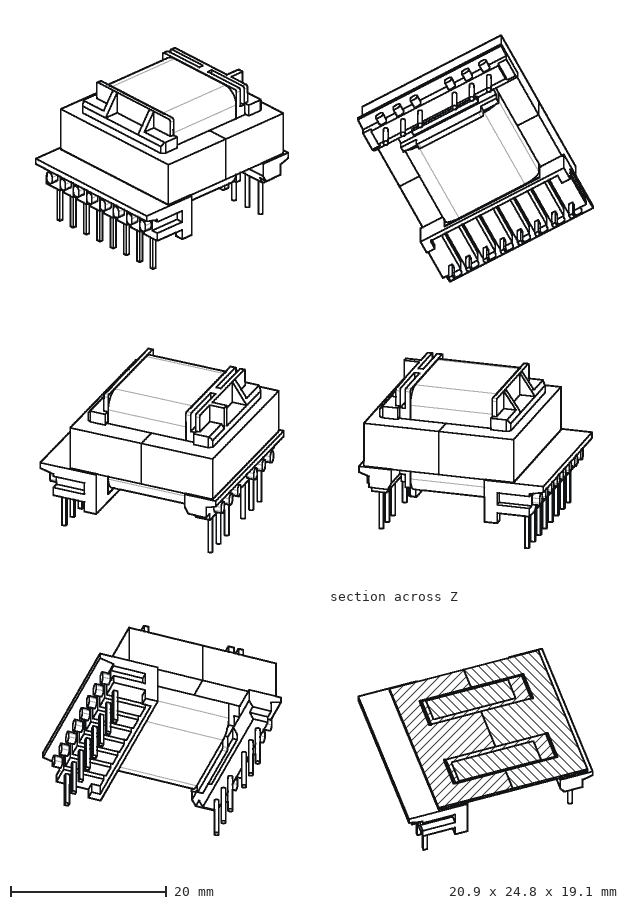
import cadquery as cq


core_width = 20.29
core_length = 20.15
core_height = 5.9
window_width = 14.09
window_length = 13.99
centre_leg_width = 5.9

tube_wall = 0.75
tube_width = centre_leg_width + 2 * tube_wall
tube_height = core_height + 2 * tube_wall

bobbin_top = 7.0
bobbin_bottom = -8.63
flange_width = 13.9
flange_thickness = 0.6
flange_corner_radius = 0.3
front_flange_outer = -6.77
front_flange_inner = front_flange_outer + flange_thickness
front_flange_bottom = -7.45
rear_flange_inner = 4.8
rear_flange_outer = 5.5
rear_flange_shoulder = -6.47
end_flange_outer = -front_flange_outer
end_flange_inner = -front_flange_inner
tab_width = 9.42
tab_corner_radius = 0.35

web_top = 4.36
web_bottom = -4.7
web_bridge_width = 1.64

bracket_width = 15.43
bracket_inner = 6.25
bracket_outer = 8.8
bracket_bottom = 3.03
bracket_shelf_top = 4.6
bracket_lip_top = 4.02
bracket_corner_x = 0.35
bracket_corner_y = 0.5
rib_inner = 3.05
rib_thickness = 0.8

rail_width = 20.9
rail_inner = 6.25
rail_lip_bottom = -3.7
rail_root_bottom = -4.15
core_seat_depth = 0.05
rail_top = core_seat_depth - core_height / 2
front_rail_lip = -14.15
front_rail_face = -12.3
front_rail_bottom = -7.25
leg_width = 1.2
leg_front = -7.94
side_slot_depth = 0.97
side_slot_top = -4.46
side_slot_bottom = -6.1
groove_width = 0.7
rear_rail_lip = 10.65
rear_rail_face = 9.28
rear_rail_bottom = -6.57
rear_rail_end_bottom = -5.63
rear_rail_end_width = 1.2
rear_chamfer_run = 1.05

pin_pitch = 2.5
pin_bottom = -12.15
front_pin_count = 8
front_pin_side = 0.52
front_pin_y = -11.48
rear_pin_places = (-3, -2, -1, 1, 2, 3)
rear_pin_diameter = 0.6
rear_pin_y = 8.53
post_width = 1.0
post_height = 1.6
post_length = 1.02
post_z = -5.35

winding_width = 13.71
winding_top = 6.92
winding_bottom = -7.3
winding_corner_radius = 2.05


def box(x0, x1, y0, y1, z0, z1):
    """Box between two opposite corners."""
    solid = cq.Workplane("XY").box(x1 - x0, y1 - y0, z1 - z0, centered=False)
    return solid.translate((x0, y0, z0))


def centred_box(width, y0, y1, z0, z1):
    """Box centred on X = 0."""
    return box(-width / 2, width / 2, y0, y1, z0, z1)


def both_sides(solid):
    """The solid together with its mirror image across the plane X = 0."""
    return solid.union(solid.mirror("YZ"))


def profile_along_x(points, x0, x1):
    """Prism with a (Y, Z) outline, running from x0 to x1."""
    return cq.Workplane("YZ").workplane(offset=x0).polyline(points).close().extrude(x1 - x0)



def make_core_half(side):
    """E-shaped core half; side is -1 for the front and 1 for the rear."""
    half_length = core_length / 2
    half = cq.Workplane("XY").box(core_width, half_length, core_height)
    half = half.translate((0, side * half_length / 2, 0))
    window = cq.Workplane("XY").box(window_width, window_length, core_height)
    centre_leg = cq.Workplane("XY").box(centre_leg_width, window_length, core_height)
    return half.cut(window.cut(centre_leg))



def make_tube_block():
    """Outside of the bobbin tube, between the two flanges that hold the winding."""
    return centred_box(
        tube_width, front_flange_inner, rear_flange_inner, -tube_height / 2, tube_height / 2
    )


def make_flange(y0, y1, bottom):
    flange = centred_box(flange_width, y0, y1, bottom, bobbin_top)
    return flange.edges("|Y and >Z").fillet(flange_corner_radius)


def make_rear_flanges():
    """Two flanges, each with a narrower tab below, joined by a web with a bridge on top."""
    flange = make_flange(rear_flange_inner, rear_flange_outer, rear_flange_shoulder)
    tab = centred_box(
        tab_width, rear_flange_inner, rear_flange_outer, bobbin_bottom, rear_flange_shoulder
    )
    tab = tab.edges("|Y and <Z").fillet(tab_corner_radius)
    end_flange = make_flange(end_flange_inner, end_flange_outer, web_bottom)
    end_tab = centred_box(
        tab_width, end_flange_inner, end_flange_outer, rear_rail_bottom, web_bottom
    )
    web = centred_box(flange_width, rear_flange_outer, end_flange_inner, web_bottom, web_top)
    bridge = centred_box(web_bridge_width, rear_flange_outer, end_flange_inner, web_top, bobbin_top)
    return flange.union(tab).union(end_flange).union(end_tab).union(web).union(bridge)


def make_bracket():
    """Rear shelf with a sloped front and two sloped ribs that brace the flange."""
    half_width = bracket_width / 2
    plan = [
        (-half_width, bracket_inner),
        (half_width, bracket_inner),
        (half_width, bracket_outer - bracket_corner_y),
        (half_width - bracket_corner_x, bracket_outer),
        (bracket_corner_x - half_width, bracket_outer),
        (-half_width, bracket_outer - bracket_corner_y),
    ]
    slope = [
        (end_flange_inner, bracket_bottom),
        (bracket_outer, bracket_bottom),
        (bracket_outer, bracket_lip_top),
        (end_flange_outer, bobbin_top),
        (end_flange_inner, bobbin_top),
    ]
    shelf = cq.Workplane("XY").workplane(offset=bracket_bottom).polyline(plan).close()
    shelf = shelf.extrude(bracket_shelf_top - bracket_bottom)
    shelf = shelf.intersect(profile_along_x(slope, -half_width, half_width))
    sunken_middle = centred_box(
        2 * rib_inner, end_flange_outer, bracket_outer, bracket_lip_top, bracket_shelf_top
    )
    rib = profile_along_x(slope, rib_inner, rib_inner + rib_thickness)
    return shelf.cut(sunken_middle).union(both_sides(rib))


def make_square_rib():
    """Full-height rib that replaces the sloped one on the +X side of the rear bracket."""
    return box(
        rib_inner,
        rib_inner + rib_thickness,
        end_flange_inner,
        bracket_outer,
        bracket_bottom,
        bobbin_top,
    )


def make_front_rail():
    """Rail with a tapered lip, side slots, wire grooves and two legs."""
    half_width = rail_width / 2
    outline = [
        (-rail_inner, rail_top),
        (front_rail_lip, rail_top),
        (front_rail_lip, rail_lip_bottom),
        (front_rail_face, rail_root_bottom),
        (front_rail_face, front_rail_bottom),
        (-rail_inner, front_rail_bottom),
    ]
    rail = profile_along_x(outline, -half_width, half_width)
    skirt = centred_box(rail_width, front_flange_outer, -rail_inner, bobbin_bottom, rail_top)
    groove = centred_box(
        groove_width, front_rail_face, front_flange_outer, front_rail_bottom, rail_root_bottom
    )
    for index in range(1, front_pin_count):
        rail = rail.cut(groove.translate(((index - front_pin_count / 2) * pin_pitch, 0, 0)))
    leg = box(
        half_width - leg_width, half_width, leg_front, -rail_inner, bobbin_bottom, rail_top
    )
    slot = box(
        half_width - side_slot_depth,
        half_width,
        front_rail_face,
        leg_front,
        side_slot_bottom,
        side_slot_top,
    )
    return rail.union(skirt).union(both_sides(leg)).cut(both_sides(slot))


def make_rear_rail():
    """Rail with a tapered lip, a chamfered inner edge and raised ends."""
    half_width = rail_width / 2
    outline = [
        (rail_inner, rail_top),
        (rear_rail_lip, rail_top),
        (rear_rail_lip, rail_lip_bottom),
        (rear_rail_face, rail_root_bottom),
        (rear_rail_face, rear_rail_bottom),
        (rail_inner + rear_chamfer_run, rear_rail_bottom),
        (rail_inner, web_bottom),
    ]
    rail = profile_along_x(outline, -half_width, half_width)
    end_step = box(
        half_width - rear_rail_end_width,
        half_width,
        rail_inner,
        rear_rail_face,
        rear_rail_bottom,
        rear_rail_end_bottom,
    )
    joint = centred_box(flange_width, end_flange_inner, rail_inner, web_bottom, rail_top)
    return rail.cut(both_sides(end_step)).union(joint)


def make_post(x, y_start):
    """Upright oblong post that sticks out of a rail face along Y."""
    post = cq.Workplane("XZ").slot2D(post_height, post_width, 90).extrude(-post_length)
    return post.translate((x, y_start, post_z))


def make_front_pin(x):
    pin = cq.Workplane("XY").rect(front_pin_side, front_pin_side)
    pin = pin.extrude(front_rail_bottom - pin_bottom)
    return pin.translate((x, front_pin_y, pin_bottom))


def make_rear_pin(x):
    pin = cq.Workplane("XY").circle(rear_pin_diameter / 2)
    pin = pin.extrude(rear_rail_bottom - pin_bottom)
    return pin.translate((x, rear_pin_y, pin_bottom))


def make_bobbin():
    body = make_tube_block()
    body = body.union(make_flange(front_flange_outer, front_flange_inner, front_flange_bottom))
    body = body.union(make_rear_flanges())
    bracket = make_bracket()
    body = body.union(bracket).union(bracket.mirror("XZ")).union(make_square_rib())
    body = body.union(make_front_rail()).union(make_rear_rail())
    for index in range(front_pin_count):
        x = (index - (front_pin_count - 1) / 2) * pin_pitch
        body = body.union(make_front_pin(x))
        body = body.union(make_post(x, front_rail_face - post_length))
    for place in rear_pin_places:
        x = place * pin_pitch
        body = body.union(make_rear_pin(x))
        body = body.union(make_post(x, rear_rail_face))
    for side in (-1, 1):
        body = body.cut(make_core_half(side))
    leg_passage = cq.Workplane("XY").box(centre_leg_width, window_length, core_height)
    return body.cut(leg_passage)



def make_winding():
    winding = centred_box(
        winding_width, front_flange_inner, rear_flange_inner, winding_bottom, winding_top
    )
    winding = winding.edges("|Y").fillet(winding_corner_radius)
    return winding.cut(make_tube_block())


bobbin = make_bobbin()
winding = make_winding()
core_halves = [make_core_half(side).val() for side in (-1, 1)]

result = cq.Compound.makeCompound([bobbin.val(), winding.val(), *core_halves])